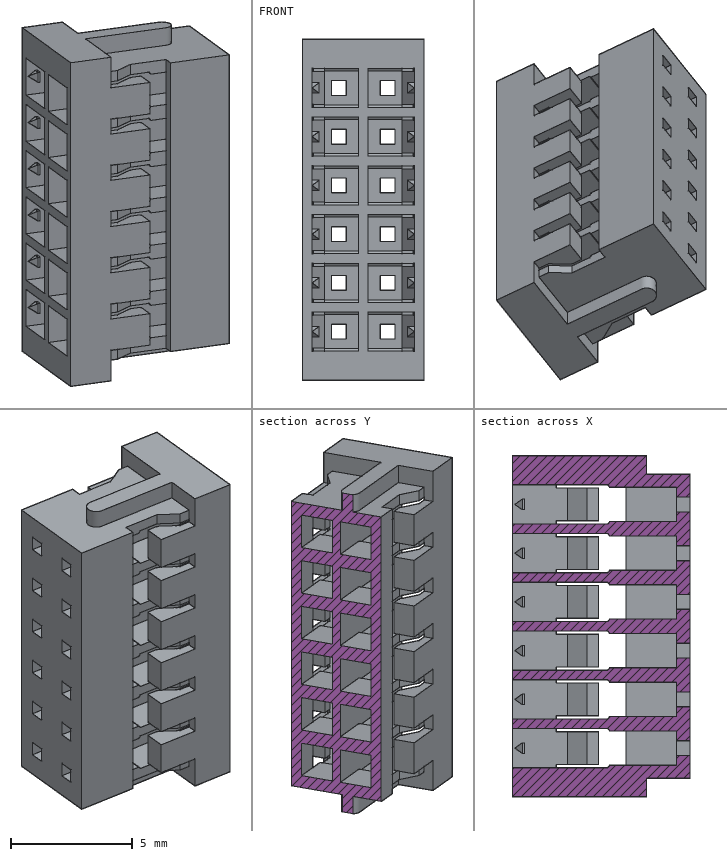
import cadquery as cq

width = 5.0
length = 7.3
height = 14.0
flange_depth = 1.8

rows = 6
pitch = height / (rows + 1)
column_x = pitch / 2
row_heights = [(row - (rows - 1) / 2) * pitch for row in range(rows)]

body_height = 12.49
block_half_width = 2.06
block_front = 4.66
core_half_width = 2.1
waist_half_width = 1.58
slope_start = 2.27
slope_end = 3.07

cavity_inner_x = 0.2
entry_height = 1.6
cavity_height = 1.4
taper_start = 3.92
taper_end = 3.99
floor_thickness = 0.56
cavity_floor = length - floor_thickness
pin_hole = 0.6

arm_tip = 3.54
arm_height = 1.36

nub_point = 0.1
nub_shoulder = 0.4
nub_back = 0.5
nub_reach = 0.3
nub_height = 0.43

rib_x = -0.52
rib_width = 0.8
rib_tip = 5.78


def block(x_range, y_range, z_range):
    """Box between the given limits on each axis."""
    sizes = [high - low for low, high in (x_range, y_range, z_range)]
    corner = (x_range[0], y_range[0], z_range[0])
    return cq.Workplane("XY").box(*sizes, centered=False).translate(corner)


def plate(points, thickness):
    """Prism with the given XY outline, centred on z = 0."""
    return cq.Workplane("XY").polyline(points).close().extrude(thickness / 2, both=True)


def side_prism(points, x_start, x_end):
    """Prism along X with the given YZ outline."""
    plane = cq.Workplane("YZ").workplane(offset=x_start)
    return plane.polyline(points).close().extrude(x_end - x_start)


def make_body():
    """Flange, waisted core and rear block as one solid without cavities."""
    flange = block((-width / 2, width / 2), (0, flange_depth), (-height / 2, height / 2))
    right_side = [
        (core_half_width, flange_depth),
        (core_half_width, slope_start),
        (waist_half_width, slope_end),
        (waist_half_width, block_front),
        (block_half_width, block_front),
        (block_half_width, length),
    ]
    left_side = [(-x, y) for x, y in reversed(right_side)]
    return flange.union(plate(right_side + left_side, body_height))


def make_ribs():
    """Round-ended rib standing proud of both ends of the body."""
    radius = rib_width / 2
    round_start = rib_tip - radius
    return (
        cq.Workplane("XY")
        .workplane(offset=-height / 2)
        .moveTo(rib_x - radius, flange_depth)
        .lineTo(rib_x - radius, round_start)
        .threePointArc((rib_x, rib_tip), (rib_x + radius, round_start))
        .lineTo(rib_x + radius, flange_depth)
        .close()
        .extrude(height)
    )


def make_cavity():
    """Space for one terminal in the right column, with its pin hole."""
    upper_side = [
        (0, entry_height / 2),
        (taper_start, entry_height / 2),
        (taper_end, cavity_height / 2),
        (cavity_floor, cavity_height / 2),
    ]
    lower_side = [(y, -z) for y, z in reversed(upper_side)]
    side_profile = side_prism(upper_side + lower_side, cavity_inner_x, core_half_width)
    top_profile = plate(
        [
            (cavity_inner_x, 0),
            (core_half_width, 0),
            (core_half_width, slope_start),
            (waist_half_width, slope_end),
            (waist_half_width, cavity_floor),
            (cavity_inner_x, cavity_floor),
        ],
        entry_height,
    )
    half_hole = pin_hole / 2
    hole = block(
        (column_x - half_hole, column_x + half_hole),
        (cavity_floor, length),
        (-half_hole, half_hole),
    )
    return side_profile.intersect(top_profile).union(hole)


def make_arm():
    """Spring arm of one right-column cavity, its inner face following the core slope."""
    return plate(
        [
            (width / 2, flange_depth),
            (width / 2, arm_tip),
            (waist_half_width, arm_tip),
            (waist_half_width, slope_end),
            (core_half_width, slope_start),
            (core_half_width, flange_depth),
        ],
        arm_height,
    )


def make_nub():
    """Short block on the right-column wall, tapering to a point toward the entry."""
    tip_x = core_half_width - nub_reach
    half_height = nub_height / 2
    top_profile = plate(
        [
            (core_half_width, nub_point),
            (tip_x, nub_shoulder),
            (tip_x, nub_back),
            (core_half_width, nub_back),
        ],
        nub_height,
    )
    side_profile = side_prism(
        [
            (nub_point, 0),
            (nub_shoulder, half_height),
            (nub_back, half_height),
            (nub_back, -half_height),
            (nub_shoulder, -half_height),
        ],
        tip_x,
        core_half_width,
    )
    return top_profile.intersect(side_profile)


def on_both_columns(feature):
    """Right-column feature together with its mirror image in the left column."""
    return feature.union(feature.mirror("YZ"))


cavities = on_both_columns(make_cavity())
arms = on_both_columns(make_arm())
nubs = on_both_columns(make_nub())

result = make_body().union(make_ribs())
for z in row_heights:
    result = result.cut(cavities.translate((0, 0, z)))
    result = result.union(arms.translate((0, 0, z)))
    result = result.union(nubs.translate((0, 0, z)))